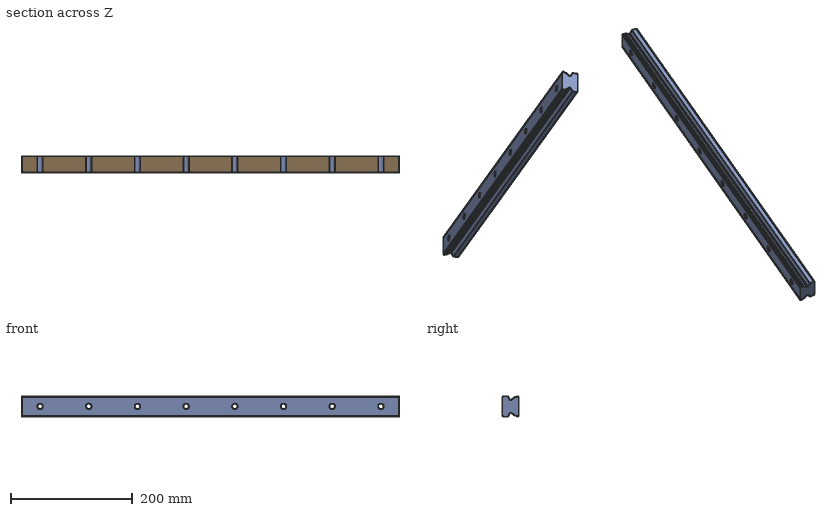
import cadquery as cq

length = 620.0
depth = 27.0
height = 34.0

front_chamfer = 2.0
groove_front_y = -4.5
groove_bottom_front_y = -0.5
groove_bottom_back_y = 1.0
groove_back_y = 7.0
shoulder_back_y = 10.0
groove_depth = 6.0
shoulder_depth = 2.0
crest_depth = 1.0
back_chamfer = 2.0

hole_count = 8
hole_pitch = 80.0
hole_diameter = 8.5

front_y = -depth / 2
back_y = depth / 2
top_z = height / 2


def rail_profile():
    """Upper half of the cross-section, mirrored about the middle plane."""
    upper = [
        (front_y, top_z - front_chamfer),
        (front_y + front_chamfer, top_z),
        (groove_front_y, top_z),
        (groove_bottom_front_y, top_z - groove_depth),
        (groove_bottom_back_y, top_z - groove_depth),
        (groove_back_y, top_z - shoulder_depth),
        (shoulder_back_y, top_z - crest_depth),
        (back_y - back_chamfer, top_z),
        (back_y, top_z - back_chamfer),
    ]
    lower = [(y, -z) for y, z in reversed(upper)]
    return cq.Workplane("YZ").polyline(upper + lower).close()


def mounting_holes():
    """Row of cylinders along X, centred on the rail."""
    return (
        cq.Workplane("XZ")
        .rarray(hole_pitch, 6, hole_count, 1)
        .circle(hole_diameter / 2)
        .extrude(depth / 2, both=True)
    )


rail = rail_profile().extrude(length / 2, both=True)
result = rail.cut(mounting_holes())